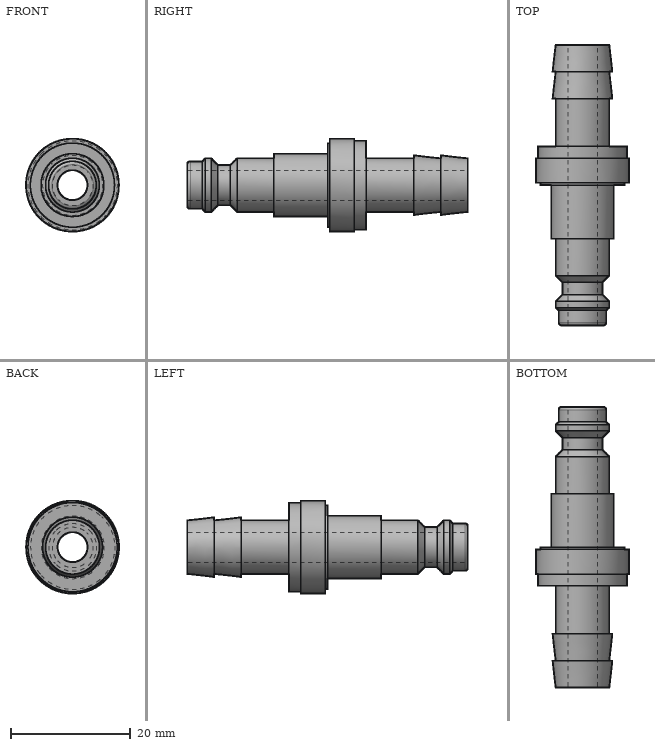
import cadquery as cq

length = 47.0
bore_radius = 2.5
body_radius = 4.5

tip_radius = 4.0
tip_fillet = 0.5
tip_length = 2.55
collar_start = 3.0
collar_end = 4.05
groove_radius = 3.4
groove_start = collar_end + body_radius - groove_radius
groove_end = 7.25
plug_start = groove_end + body_radius - groove_radius

shank_radius = 5.25
shank_start = 14.5
lip_radius = 7.05
lip_start = 23.5
flange_radius = 7.8
flange_start = 23.88
rear_shoulder_radius = 7.45
rear_shoulder_start = 28.0
rear_shoulder_end = 30.0

barb_radius = 5.05
barb_length = 4.5
barb_count = 2

profile = [
    (bore_radius, 0),
    (tip_radius, 0),
    (tip_radius, tip_length),
    (body_radius, collar_start),
    (body_radius, collar_end),
    (groove_radius, groove_start),
    (groove_radius, groove_end),
    (body_radius, plug_start),
    (body_radius, shank_start),
    (shank_radius, shank_start),
    (shank_radius, lip_start),
    (lip_radius, lip_start),
    (lip_radius, flange_start),
    (flange_radius, flange_start),
    (flange_radius, rear_shoulder_start),
    (rear_shoulder_radius, rear_shoulder_start),
    (rear_shoulder_radius, rear_shoulder_end),
    (body_radius, rear_shoulder_end),
]

for barb in range(barb_count):
    barb_start = length - (barb_count - barb) * barb_length
    profile.append((body_radius, barb_start))
    profile.append((barb_radius, barb_start))
profile.append((body_radius, length))
profile.append((bore_radius, length))

nipple = cq.Workplane("XY").polyline(profile).close().revolve(360, (0, 0, 0), (0, 1, 0))

tip_rim = cq.selectors.RadiusNthSelector(-1)
result = nipple.faces("<Y").edges(tip_rim).fillet(tip_fillet)